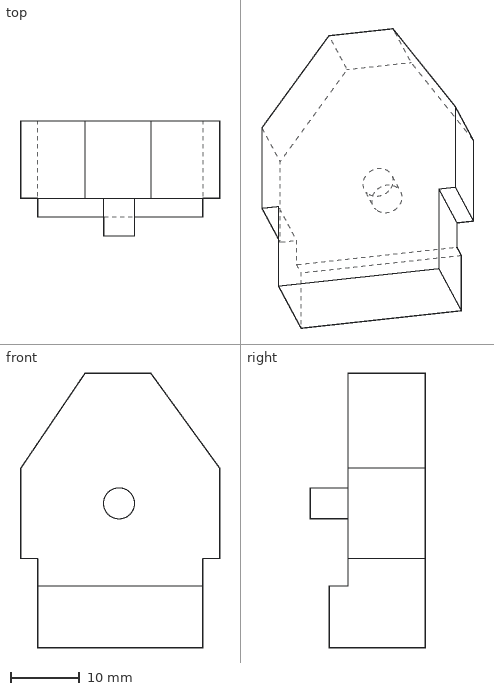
import cadquery as cq

width = 29.0
height = 40.0
total_depth = 16.75
plate_depth = 11.3
shoulder_height = 26.15
top_left = 9.35
top_right = 18.95

side_inset = 2.5
step_height = 13.0
ledge_height = 9.05
ledge_depth = 2.7

pin_diameter = 4.5
pin_length = total_depth - plate_depth
pin_x = 14.3
pin_z = 21.05

base_width = width - 2 * side_inset


def make_plate():
    """Tapered plate above the side steps."""
    outline = [
        (0, step_height),
        (width, step_height),
        (width, shoulder_height),
        (top_right, height),
        (top_left, height),
        (0, shoulder_height),
    ]
    return cq.Workplane("XZ").polyline(outline).close().extrude(-plate_depth)


def make_base():
    """L-shaped foot with its ledge toward -Y."""
    profile = [
        (-ledge_depth, 0),
        (plate_depth, 0),
        (plate_depth, step_height),
        (0, step_height),
        (0, ledge_height),
        (-ledge_depth, ledge_height),
    ]
    foot = cq.Workplane("YZ").polyline(profile).close().extrude(base_width)
    return foot.translate((side_inset, 0, 0))


def make_pin():
    """Round pin projecting toward -Y from the front face."""
    return cq.Workplane("XZ").center(pin_x, pin_z).circle(pin_diameter / 2).extrude(pin_length)


result = make_plate().union(make_base()).union(make_pin()).clean()